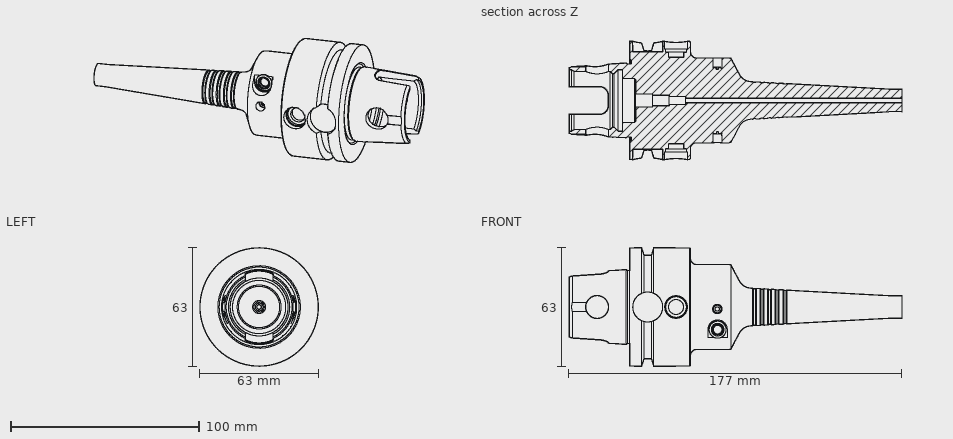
import cadquery as cq
import math


length = 177.0
bore_d = 2.3

shank_end_r = 17.5
shank_chamfer = 1.8
shank_small_r = 18.2
shank_large_r = 20.0
shank_cone_end = 30.3
neck_r = 19.5
neck_start = 31.0

flange_d = 63.0
flange_r = flange_d / 2
flange_start = 32.2
flange_end = 64.6
flange_edge = 0.5
face_groove_outer_r = 22.0
face_groove_depth = 0.7
grip_groove_floor_r = 27.6
grip_groove_x = 41.8
grip_groove_width = 6.4
grip_groove_floor_width = 3.9

body_r = 22.7
body_fillet = 3.0
body_end = 86.0
body_chamfer_length = 1.0
body_chamfer_height = 0.2
shoulder_angle = 60.0
shoulder_blend_r = 7.0
neck_start_r = 10.1
neck_blend_x = 96.8
tip_d = 12.0
tip_r = tip_d / 2
tip_start = 171.7

ring_count = 5
ring_first_x = 97.4
ring_pitch = 4.0
ring_width = 2.1
ring_floor_width = 1.0
ring_depth = 0.27

mouth_r = 16.3
mouth_chamfer = 0.9
mouth_length = 1.2
mouth_chamfer_length = 1.5
cavity_r = mouth_r - mouth_chamfer
cavity_step_x = 21.8
ledge_r = 14.2
ledge_end = 23.9
undercut_r = 16.3
undercut_slope = 2.1
undercut_end = 28.3
pit_r = 11.7
pit_chamfer = 0.7
pit_end = 35.4
feed_step_diameters = [6.9, 5.5, 4.0]
feed_step_length = 8.8

slot_width = 14.5
slot_end = 20.7
slot_corner_r = 4.5
slot_edge = 0.4
cross_hole_d = 12.0
cross_hole_x = 14.9
keyway_width = 5.0
keyway_floor_y = 18.0

disc_d = 16.0
disc_floor_y = 26.0
rim_hole_x = 56.8
rim_hole_d = 12.0
rim_hole_floor_y = 27.5
rim_hole_step_d = 11.0
rim_hole_step_floor_y = 25.7
rim_hole_core_d = 8.0
rim_hole_core_floor_y = 23.0

screw_x = 79.0
screw_z = 12.0
screw_pocket_width = 10.3
screw_head_y = 16.0
screw_head_d = 9.0
screw_face_d = 6.7
screw_bevel_depth = 0.9
screw_socket_d = 5.5
screw_socket_depth = 1.8
screw_point_d = 4.6
screw_point_depth = 1.2
plug_x = 78.8
plug_z = 1.0
plug_head_y = 17.7
plug_d = 5.0
plug_face_d = 4.0
plug_bevel_depth = 0.5
plug_socket_d = 2.3
plug_socket_depth = 1.0


def on_both_sides(tool):
    """Return the cutting tool together with its copy half a turn around X."""
    return tool.union(tool.rotate((0, 0, 0), (1, 0, 0), 180))


def side_bore(x, z, diameter, floor_y):
    """Cylinder along Y from its floor on the -Y side out past the flange."""
    return (
        cq.Workplane("XZ", origin=(x, -floor_y, z))
        .circle(diameter / 2)
        .extrude(flange_r)
    )


def make_body():
    """Revolved outer shape of the whole holder."""
    slope = math.radians(shoulder_angle)
    blend_start_x = neck_blend_x - shoulder_blend_r * math.sin(slope)
    blend_start_r = neck_start_r + shoulder_blend_r * (1 - math.cos(slope))
    blend_mid_x = neck_blend_x - shoulder_blend_r * math.sin(slope / 2)
    blend_mid_r = neck_start_r + shoulder_blend_r * (1 - math.cos(slope / 2))
    fillet_reach = body_fillet * (1 - math.sqrt(0.5))
    groove_half = grip_groove_width / 2
    floor_half = grip_groove_floor_width / 2
    profile = (
        cq.Workplane("XY")
        .lineTo(0, shank_end_r)
        .lineTo(shank_chamfer, shank_small_r)
        .lineTo(shank_cone_end, shank_large_r)
        .lineTo(neck_start, neck_r)
        .lineTo(flange_start + face_groove_depth, neck_r)
        .lineTo(flange_start + face_groove_depth, face_groove_outer_r - face_groove_depth)
        .lineTo(flange_start, face_groove_outer_r)
        .lineTo(flange_start, flange_r)
        .lineTo(grip_groove_x - groove_half, flange_r)
        .lineTo(grip_groove_x - floor_half, grip_groove_floor_r)
        .lineTo(grip_groove_x + floor_half, grip_groove_floor_r)
        .lineTo(grip_groove_x + groove_half, flange_r)
        .lineTo(flange_end - flange_edge, flange_r)
        .lineTo(flange_end, flange_r - flange_edge)
        .lineTo(flange_end, body_r + body_fillet)
        .threePointArc(
            (flange_end + fillet_reach, body_r + fillet_reach),
            (flange_end + body_fillet, body_r),
        )
        .lineTo(body_end - body_chamfer_length, body_r)
        .lineTo(body_end, body_r - body_chamfer_height)
        .lineTo(blend_start_x, blend_start_r)
        .threePointArc((blend_mid_x, blend_mid_r), (neck_blend_x, neck_start_r))
        .lineTo(tip_start, tip_r)
        .lineTo(length, tip_r)
        .lineTo(length, 0)
        .close()
    )
    return profile.revolve(360, (0, 0, 0), (1, 0, 0))


def make_neck_rings():
    """Shallow ring grooves with sloping sides, following the taper of the slender neck."""
    taper = (neck_start_r - tip_r) / (tip_start - neck_blend_x)
    side_run = (ring_width - ring_floor_width) / 2
    rings = cq.Workplane("XY")
    for i in range(ring_count):
        start = ring_first_x + i * ring_pitch
        end = start + ring_width
        start_r = neck_start_r - taper * (start - neck_blend_x)
        end_r = neck_start_r - taper * (end - neck_blend_x)
        profile = (
            cq.Workplane("XY")
            .moveTo(start, start_r)
            .lineTo(start + side_run, start_r - ring_depth)
            .lineTo(end - side_run, end_r - ring_depth)
            .lineTo(end, end_r)
            .lineTo(end, body_r)
            .lineTo(start, body_r)
            .close()
        )
        rings = rings.add(profile.revolve(360, (0, 0, 0), (1, 0, 0)))
    return rings.combine()


def make_cavity():
    """Stepped clamping cavity that narrows to the bore through the tip."""
    profile = (
        cq.Workplane("XY")
        .lineTo(0, mouth_r)
        .lineTo(mouth_length, mouth_r)
        .lineTo(mouth_length + mouth_chamfer_length, cavity_r)
        .lineTo(cavity_step_x, cavity_r)
        .lineTo(cavity_step_x + cavity_r - ledge_r, ledge_r)
        .lineTo(ledge_end, ledge_r)
        .lineTo(ledge_end + undercut_slope, undercut_r)
        .lineTo(undercut_end, undercut_r)
        .lineTo(undercut_end, pit_r)
        .lineTo(pit_end - pit_chamfer, pit_r)
        .lineTo(pit_end, pit_r - pit_chamfer)
    )
    step_start = pit_end
    for diameter in feed_step_diameters:
        profile = profile.lineTo(step_start, diameter / 2)
        step_start += feed_step_length
        profile = profile.lineTo(step_start, diameter / 2)
    profile = (
        profile.lineTo(step_start, bore_d / 2)
        .lineTo(length, bore_d / 2)
        .lineTo(length, 0)
        .close()
    )
    return profile.revolve(360, (0, 0, 0), (1, 0, 0))


def cut_drive_slots(holder):
    """Cut the open-ended slots in the shank wall and bevel their outer edges."""
    slot = (
        cq.Workplane("XY")
        .box(2 * slot_end, slot_width, flange_d)
        .edges("|Z")
        .fillet(slot_corner_r)
    )
    slotted = holder.cut(slot)
    radial_edges = cq.selectors.ParallelDirSelector(cq.Vector(0, 0, 1))
    for side in (1, -1):
        rim = cq.selectors.BoxSelector(
            (shank_chamfer, -slot_width, side * cavity_r),
            (slot_end + slot_edge, slot_width, side * shank_large_r),
        )
        slotted = slotted.edges(rim - radial_edges).chamfer(slot_edge)
    return slotted


def make_cross_hole():
    """Round hole along Y through both shank walls."""
    return (
        cq.Workplane("XZ", origin=(cross_hole_x, 0, 0))
        .circle(cross_hole_d / 2)
        .extrude(flange_r, both=True)
    )


def make_keyway():
    """Shallow flat-bottomed keyway from the shank end to the cross hole."""
    return (
        cq.Workplane("XY")
        .box(cross_hole_x, keyway_width, flange_r, centered=(False, True, False))
        .rotate((0, 0, 0), (1, 0, 0), 90)
        .translate((0, -keyway_floor_y, 0))
    )


def make_rim_recesses():
    """Flat round recess across the grip groove, with a stepped hole beside it."""
    disc = side_bore(grip_groove_x, 0, disc_d, disc_floor_y)
    hole = side_bore(rim_hole_x, 0, rim_hole_d, rim_hole_floor_y)
    step = side_bore(rim_hole_x, 0, rim_hole_step_d, rim_hole_step_floor_y)
    core = side_bore(rim_hole_x, 0, rim_hole_core_d, rim_hole_core_floor_y)
    return disc.union(hole).union(step).union(core)


def head_bevel(x, z, head_d, face_d, head_y, depth):
    """Ring-shaped cut that leaves a bevelled head with its face at head_y."""
    base = cq.Vector(x, -(head_y - depth), z)
    outward = cq.Vector(0, -1, 0)
    head = cq.Solid.makeCone(head_d / 2, face_d / 2, depth, pnt=base, dir=outward)
    blank = cq.Solid.makeCylinder(head_d / 2, depth, pnt=base, dir=outward)
    return cq.Workplane(blank.cut(head))


def cut_screws(holder):
    """Cut the off-centre U-shaped pockets and the screw heads at their floors."""
    x = screw_x
    z = -screw_z
    socket_floor_y = screw_head_y - screw_socket_depth
    round_end = side_bore(x, z, screw_pocket_width, screw_head_y)
    open_end = (
        cq.Workplane("XZ", origin=(x, -screw_head_y, z - body_r / 2))
        .rect(screw_pocket_width, body_r)
        .extrude(flange_r)
    )
    bevel = head_bevel(x, z, screw_head_d, screw_face_d, screw_head_y, screw_bevel_depth)
    socket = side_bore(x, z, screw_socket_d, socket_floor_y)
    point = cq.Workplane(
        cq.Solid.makeCone(
            screw_point_d / 2,
            0,
            screw_point_depth,
            pnt=cq.Vector(x, -socket_floor_y, z),
            dir=cq.Vector(0, 1, 0),
        )
    )
    tools = (round_end.union(open_end), bevel, socket, point)
    for tool in tools:
        holder = holder.cut(on_both_sides(tool))
    return holder


def cut_plugs(holder):
    """Cut the small holes, each closed by a bevelled plug with a socket."""
    x = plug_x
    z = -plug_z
    hole = side_bore(x, z, plug_d, plug_head_y)
    bevel = head_bevel(x, z, plug_d, plug_face_d, plug_head_y, plug_bevel_depth)
    socket = side_bore(x, z, plug_socket_d, plug_head_y - plug_socket_depth)
    for tool in (hole, bevel, socket):
        holder = holder.cut(on_both_sides(tool))
    return holder


slotted_holder = cut_drive_slots(make_body().cut(make_cavity()))
bored_holder = (
    slotted_holder.cut(make_neck_rings())
    .cut(make_cross_hole())
    .cut(on_both_sides(make_keyway()))
    .cut(on_both_sides(make_rim_recesses()))
)
result = cut_plugs(cut_screws(bored_holder))